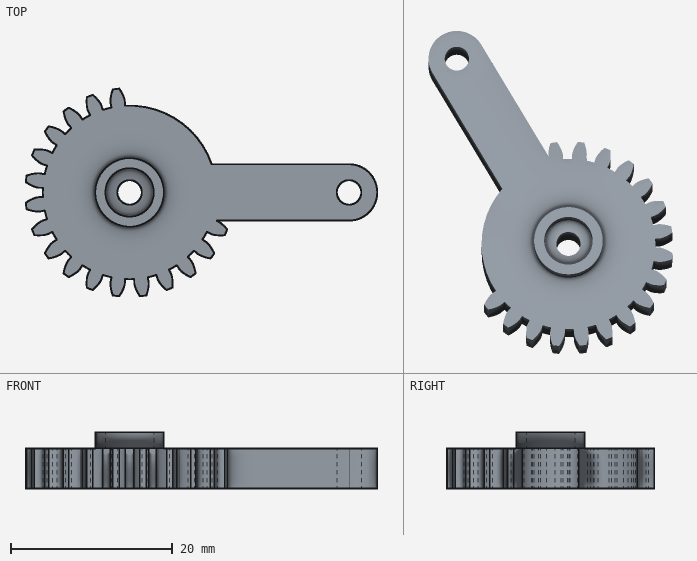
import cadquery as cq
import math

module = 1.0
tooth_slots = 24
tooth_count = 17
pressure_angle = math.radians(20)
tip_radius = 12.9
root_radius = 10.75
first_tooth_angle = 97.5
flank_points = 7
root_overlap = 0.45

plate_thickness = 5.0
total_height = 7.0
arm_width = 7.0
overall_length = 43.5
bore_diameter = 3.0
hub_diameter = 8.5
counterbore_diameter = 6.0

pitch_radius = module * tooth_slots / 2
base_radius = pitch_radius * math.cos(pressure_angle)
tooth_pitch = 360 / tooth_slots
hub_height = total_height - plate_thickness


def involute(angle):
    return math.tan(angle) - angle


def flank_half_angle(radius):
    """Half of the angle that a tooth spans at the given radius."""
    local_pressure_angle = math.acos(min(1.0, base_radius / radius))
    pitch_half_angle = math.pi / (2 * tooth_slots)
    return pitch_half_angle + involute(pressure_angle) - involute(local_pressure_angle)


def polar(radius, angle):
    return (radius * math.cos(angle), radius * math.sin(angle))


tip_half_angle = flank_half_angle(tip_radius)
gear_reach = tip_radius * math.cos(math.radians(tooth_pitch / 2) - tip_half_angle)
arm_end_x = overall_length - gear_reach - arm_width / 2


def make_tooth():
    """One involute tooth pointing along +X, with radial sides below the base circle."""
    base_half_angle = flank_half_angle(base_radius)
    step = (tip_radius - base_radius) / (flank_points - 1)
    radii = [base_radius + i * step for i in range(flank_points)]
    lower_flank = [polar(r, -flank_half_angle(r)) for r in radii]
    upper_flank = [polar(r, flank_half_angle(r)) for r in reversed(radii)]
    foot_radius = root_radius - root_overlap
    return (
        cq.Workplane("XY")
        .moveTo(*polar(foot_radius, -base_half_angle))
        .lineTo(*lower_flank[0])
        .spline(lower_flank[1:], includeCurrent=True)
        .threePointArc((tip_radius, 0), upper_flank[0])
        .spline(upper_flank[1:], includeCurrent=True)
        .lineTo(*polar(foot_radius, base_half_angle))
        .close()
        .extrude(plate_thickness)
    )


def make_arm():
    """Straight arm from the gear axis to a rounded end."""
    bar = (
        cq.Workplane("XY")
        .rect(arm_end_x, arm_width)
        .extrude(plate_thickness)
        .translate((arm_end_x / 2, 0, 0))
    )
    rounded_end = (
        cq.Workplane("XY").center(arm_end_x, 0).circle(arm_width / 2).extrude(plate_thickness)
    )
    return bar.union(rounded_end)


result = cq.Workplane("XY").circle(root_radius).extrude(plate_thickness).union(make_arm())
tooth = make_tooth()
for index in range(tooth_count):
    angle = first_tooth_angle + index * tooth_pitch
    result = result.union(tooth.rotate((0, 0, 0), (0, 0, 1), angle))

hub_ring = (
    cq.Workplane("XY")
    .workplane(offset=plate_thickness)
    .circle(hub_diameter / 2)
    .circle(counterbore_diameter / 2)
    .extrude(hub_height)
)
result = result.union(hub_ring)

bores = (
    cq.Workplane("XY")
    .pushPoints([(0, 0), (arm_end_x, 0)])
    .circle(bore_diameter / 2)
    .extrude(total_height)
)
result = result.cut(bores)